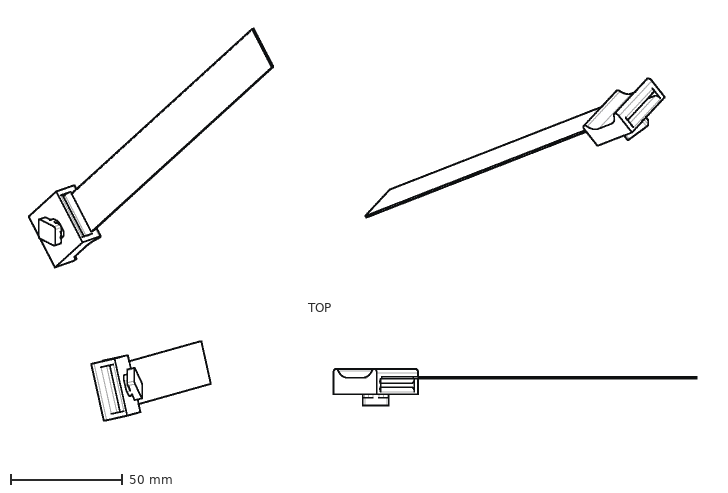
import cadquery as cq
import math

TILT = 45.0
OVERALL = 163.3

HOUSING_LENGTH = 27.6
HOUSING_WIDTH = 26.3
HOUSING_DEPTH = 11.5
HORN_RADIUS = 1.6
SADDLE_DEPTH = 3.9
SADDLE_RADIUS = 6.5

SLOT_WIDTH = 21.5
MOUTH_FRONT = 1.1
MOUTH_HEIGHT = 5.9
LIP_RADIUS = 2.1

STRAP_WIDTH = 19.8
STRAP_THICKNESS = 1.0
STRAP_FRONT = MOUTH_FRONT + MOUTH_HEIGHT

HEAD_WIDTH = 11.8
HEAD_HEIGHT = 9.5
HEAD_THICKNESS = 3.5
HEAD_CORNER_RADIUS = 1.0
NECK_LENGTH = 1.6
NECK_RADIUS = 4.9

HALF_LENGTH = HOUSING_LENGTH / 2
SQRT_HALF = math.sqrt(0.5)


def tilt(body):
    """Turn a body lying along X so that it rises toward +X and +Z."""
    return body.rotate((0, 0, 0), (0, 1, 0), -TILT)


def make_block():
    """Block with two rounded horns and a saddle between them along its back."""
    horn_x = HALF_LENGTH - HORN_RADIUS
    horn_y = HOUSING_DEPTH - HORN_RADIUS
    floor_y = HOUSING_DEPTH - SADDLE_DEPTH

    curve_y = floor_y + SADDLE_RADIUS
    centre_distance = HORN_RADIUS + SADDLE_RADIUS
    angle = math.asin((curve_y - horn_y) / centre_distance)
    curve_x = horn_x - centre_distance * math.cos(angle)
    join_x = horn_x - HORN_RADIUS * math.cos(angle)
    join_y = horn_y + HORN_RADIUS * math.sin(angle)
    middle_angle = (angle + math.pi / 2) / 2
    middle_x = curve_x + SADDLE_RADIUS * math.cos(middle_angle)
    middle_y = curve_y - SADDLE_RADIUS * math.sin(middle_angle)

    return (
        cq.Workplane("XY", origin=(0, 0, -HOUSING_WIDTH / 2))
        .moveTo(-HALF_LENGTH, 0)
        .lineTo(HALF_LENGTH, 0)
        .lineTo(HALF_LENGTH, horn_y)
        .threePointArc((horn_x, HOUSING_DEPTH), (join_x, join_y))
        .threePointArc((middle_x, middle_y), (curve_x, floor_y))
        .lineTo(-curve_x, floor_y)
        .threePointArc((-middle_x, middle_y), (-join_x, join_y))
        .threePointArc((-horn_x, HOUSING_DEPTH), (-HALF_LENGTH, horn_y))
        .close()
        .extrude(HOUSING_WIDTH)
    )


def make_slot():
    """Through slot whose front and back walls round outward at each mouth."""
    mouth_back = MOUTH_FRONT + MOUTH_HEIGHT
    throat_front = MOUTH_FRONT + LIP_RADIUS
    throat_back = mouth_back - LIP_RADIUS
    throat_x = HALF_LENGTH - LIP_RADIUS
    lip_rise = LIP_RADIUS * SQRT_HALF
    lip_x = throat_x + lip_rise
    lip_front = MOUTH_FRONT + lip_rise
    lip_back = mouth_back - lip_rise
    return (
        cq.Workplane("XY", origin=(0, 0, -SLOT_WIDTH / 2))
        .moveTo(HALF_LENGTH, MOUTH_FRONT)
        .lineTo(HALF_LENGTH, mouth_back)
        .threePointArc((lip_x, lip_back), (throat_x, throat_back))
        .lineTo(-throat_x, throat_back)
        .threePointArc((-lip_x, lip_back), (-HALF_LENGTH, mouth_back))
        .lineTo(-HALF_LENGTH, MOUTH_FRONT)
        .threePointArc((-lip_x, lip_front), (-throat_x, throat_front))
        .lineTo(throat_x, throat_front)
        .threePointArc((lip_x, lip_front), (HALF_LENGTH, MOUTH_FRONT))
        .close()
        .extrude(SLOT_WIDTH)
    )


def make_housing():
    return tilt(make_block().cut(make_slot()))


def make_strap():
    """Flat strap reaching from the housing end to the overall extent."""
    housing_reach = (HOUSING_LENGTH + HOUSING_WIDTH) / 2
    tip_x = OVERALL / SQRT_HALF - housing_reach - STRAP_WIDTH / 2
    strap = (
        cq.Workplane("XY", origin=(HALF_LENGTH, STRAP_FRONT, 0))
        .box(tip_x - HALF_LENGTH, STRAP_THICKNESS, STRAP_WIDTH, centered=(False, False, True))
    )
    return tilt(strap)


def make_neck():
    """Round neck with two pointed lobes, trimmed flat to the height of the head."""
    tangent = NECK_RADIUS * SQRT_HALF
    point_x = NECK_RADIUS / SQRT_HALF
    tip_x = HEAD_WIDTH / 2
    tip_radius = (point_x - tip_x) / (1 / SQRT_HALF - 1)
    flank_z = tip_radius * SQRT_HALF
    flank_x = point_x - flank_z
    lobes = (
        cq.Workplane("XZ")
        .moveTo(tangent, tangent)
        .lineTo(flank_x, flank_z)
        .threePointArc((tip_x, 0), (flank_x, -flank_z))
        .lineTo(tangent, -tangent)
        .lineTo(-tangent, -tangent)
        .lineTo(-flank_x, -flank_z)
        .threePointArc((-tip_x, 0), (-flank_x, flank_z))
        .lineTo(-tangent, tangent)
        .close()
        .extrude(NECK_LENGTH)
    )
    core = cq.Workplane("XZ").circle(NECK_RADIUS).extrude(NECK_LENGTH)
    trim = cq.Workplane("XZ").rect(HEAD_WIDTH, HEAD_HEIGHT).extrude(NECK_LENGTH)
    return core.union(lobes).intersect(trim)


def make_knob():
    """Neck against the front of the housing, carrying the head."""
    head = (
        cq.Workplane("XZ", origin=(0, -NECK_LENGTH, 0))
        .rect(HEAD_WIDTH, HEAD_HEIGHT)
        .extrude(HEAD_THICKNESS)
        .edges("|Y")
        .fillet(HEAD_CORNER_RADIUS)
    )
    return head.union(make_neck())


housing = make_housing()
strap = make_strap()
knob = make_knob()

result = cq.Compound.makeCompound([housing.val(), strap.val(), knob.val()])